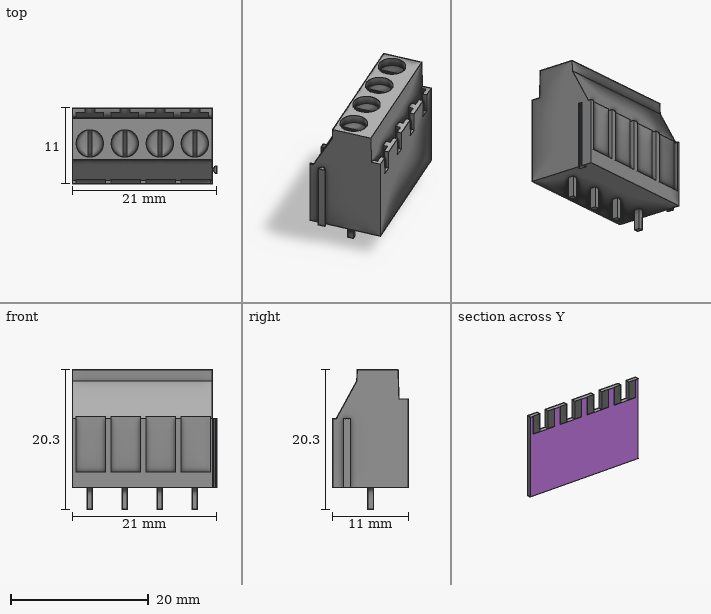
import cadquery as cq

pole_count = 4
overall_length = 20.97
body_length = 20.32
body_depth = 11.0
body_height = 17.13
pitch = body_length / pole_count
pole_centers = [(pole + 0.5) * pitch for pole in range(pole_count)]

ledge_height = 10.02
ledge_depth = 0.52
knee_y = 3.48
knee_height = 15.45
top_front_y = 3.56
top_back_y = 9.52
shoulder_y = 9.65
shoulder_height = 12.88

pocket_width = 4.24
pocket_depth = 0.67
pocket_floor = 2.29
pocket_offset = 0.13

recess_diameter = 3.96
recess_depth = 1.28
recess_y = 5.87
driver_slot_width = 0.59
driver_slot_depth = 0.84

t_slot_width = 3.96
t_neck_width = 1.47
t_lip_thickness = 0.67
t_slot_floor = ledge_height

pin_width = 0.75
pin_thickness = 0.88
pin_length = 3.17

rail_y = 2.08
rail_projection = overall_length - body_length
rail_neck_length = 0.17
rail_tip_length = 0.2
rail_neck_width = 0.4
rail_head_width = 1.07
groove_clearance = 0.052


def block(x_center, y_start, y_end, z_start, z_end, width):
    """Box centred on x_center, given by its y and z limits."""
    return (
        cq.Workplane("XY")
        .box(width, y_end - y_start, z_end - z_start, centered=(True, False, False))
        .translate((x_center, y_start, z_start))
    )


def housing():
    profile = [
        (0, 0),
        (body_depth, 0),
        (body_depth, shoulder_height),
        (shoulder_y, shoulder_height),
        (top_back_y, body_height),
        (top_front_y, body_height),
        (knee_y, knee_height),
        (ledge_depth, ledge_height),
        (0, ledge_height),
    ]
    return cq.Workplane("YZ").polyline(profile).close().extrude(body_length)


def wire_pocket(x_center):
    pocket_center = x_center + pocket_offset
    return block(pocket_center, 0, pocket_depth, pocket_floor, body_height, pocket_width)


def screw_recess(x_center):
    """Round recess with a driver slot in its floor; the slot ends follow the round wall."""
    recess_floor = body_height - recess_depth
    slot_floor = recess_floor - driver_slot_depth
    recess = (
        cq.Workplane("XY", origin=(x_center, recess_y, recess_floor))
        .circle(recess_diameter / 2)
        .extrude(recess_depth)
    )
    screw_head = (
        cq.Workplane("XY", origin=(x_center, recess_y, slot_floor))
        .circle(recess_diameter / 2)
        .extrude(driver_slot_depth)
    )
    slot_bar = block(x_center, 0, body_depth, slot_floor, recess_floor, driver_slot_width)
    return recess.union(screw_head.intersect(slot_bar))


def t_slot(x_center):
    lip_y = body_depth - t_lip_thickness
    wide = block(x_center, shoulder_y, lip_y, t_slot_floor, shoulder_height, t_slot_width)
    neck = block(x_center, lip_y, body_depth, t_slot_floor, shoulder_height, t_neck_width)
    return wide.union(neck)


def pin(x_center):
    y_start = (body_depth - pin_thickness) / 2
    return block(x_center, y_start, y_start + pin_thickness, -pin_length, 0, pin_width)


def dovetail(x_start, clearance):
    """Dovetail bar along z, flaring towards +x, with its sides and tip enlarged by the clearance."""
    half_neck = rail_neck_width / 2 + clearance
    half_head = rail_head_width / 2 + clearance
    head_x = rail_projection - rail_tip_length
    tip_x = rail_projection + clearance
    outline = [
        (0, -half_neck),
        (rail_neck_length, -half_neck),
        (head_x, -half_head),
        (tip_x, -half_head),
        (tip_x, half_head),
        (head_x, half_head),
        (rail_neck_length, half_neck),
        (0, half_neck),
    ]
    return (
        cq.Workplane("XY", origin=(x_start, rail_y, 0))
        .polyline(outline)
        .close()
        .extrude(ledge_height)
    )


result = housing()
for center in pole_centers:
    result = (
        result.cut(wire_pocket(center))
        .cut(screw_recess(center))
        .cut(t_slot(center))
        .union(pin(center))
    )
result = result.cut(dovetail(0, groove_clearance)).union(dovetail(body_length, 0))